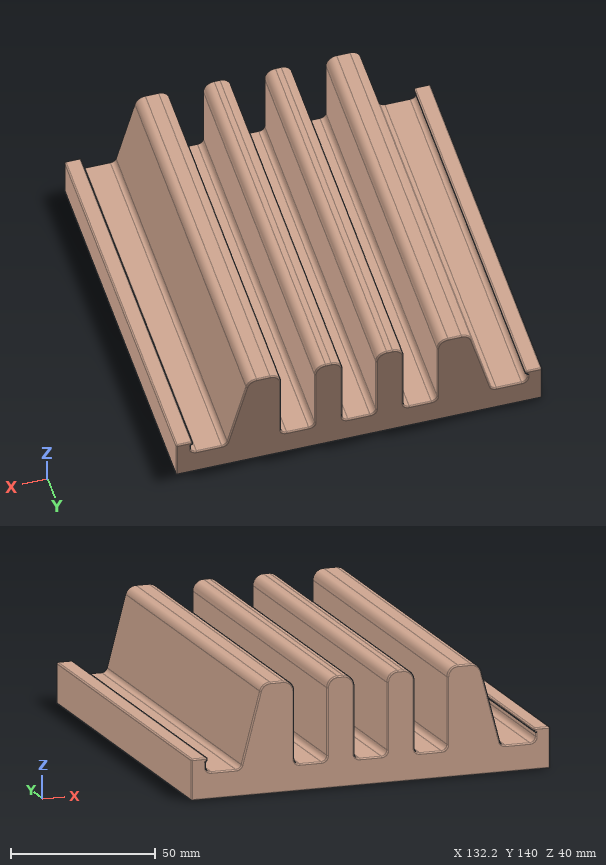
import cadquery as cq

width = 132.2
length = 140.0
height = 40.0

floor_height = 9.8
edge_height = 15.0
edge_wall = 5.3
lip_overhang = 0.7
lip_thickness = 1.0

fin_gap = 12.2
inner_fin_width = 10.0
outer_fin_base = 19.7
outer_fin_top = 11.8

tip_radius = 3.9
root_radius = 2.1
edge_radius = 0.49

half_width = width / 2
inner_fin_center = (fin_gap + inner_fin_width) / 2
outer_fin_inner_face = fin_gap / 2 + inner_fin_width + fin_gap


def extruded(points):
    """Extrude an XZ outline over the full length, centred on Y = 0."""
    return cq.Workplane("XZ").polyline(points).close().extrude(length / 2, both=True)


def long_bar(x_left, x_right, z_bottom, z_top):
    """Full-length bar with a rectangular section."""
    return extruded([(x_left, z_bottom), (x_right, z_bottom), (x_right, z_top), (x_left, z_top)])


def outer_fin(side):
    """Thick fin with a vertical inner face and a sloped outer face; side is -1 or 1."""
    inner_x = side * outer_fin_inner_face
    base_x = side * (outer_fin_inner_face + outer_fin_base)
    top_x = side * (outer_fin_inner_face + outer_fin_top)
    return extruded([(inner_x, floor_height), (base_x, floor_height), (top_x, height), (inner_x, height)])


def edge_strip(side):
    """Upright wall along one edge of the base, with a small inward lip, undercut at 45 degrees."""
    outer_x = side * half_width
    wall_x = side * (half_width - edge_wall)
    lip_x = side * (half_width - edge_wall - lip_overhang)
    lip_bottom = edge_height - lip_thickness
    return extruded([
        (outer_x, floor_height),
        (outer_x, edge_height),
        (lip_x, edge_height),
        (lip_x, lip_bottom),
        (wall_x, lip_bottom - lip_overhang),
        (wall_x, floor_height),
    ])


def lengthwise_edges(body, z, x_limit):
    """Edges parallel to Y at height z whose X lies strictly within x_limit of the centre."""
    margin = edge_radius / 4
    selector = cq.selectors.BoxSelector(
        (-x_limit + margin, -length, z - margin),
        (x_limit - margin, length, z + margin),
    )
    return body.edges("|Y").edges(selector)


body = long_bar(-half_width, half_width, 0, floor_height)
for side in (-1, 1):
    fin_left = side * inner_fin_center - inner_fin_width / 2
    body = body.union(long_bar(fin_left, fin_left + inner_fin_width, floor_height, height))
    body = body.union(outer_fin(side))
    body = body.union(edge_strip(side))

body = lengthwise_edges(body, height, half_width).fillet(tip_radius)
body = lengthwise_edges(body, floor_height, half_width).fillet(root_radius)

body = body.edges("|Y and (<X or >X)").fillet(edge_radius)
body = lengthwise_edges(body, edge_height, half_width - edge_wall).fillet(edge_radius)
body = body.faces("<Y or >Y").fillet(edge_radius)

result = body